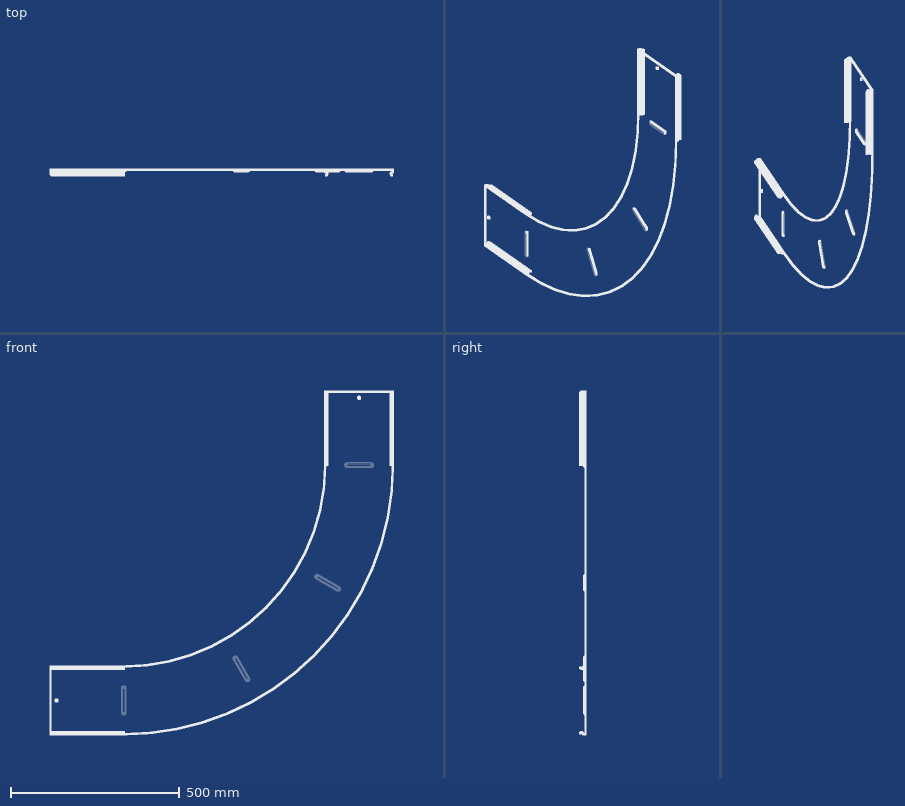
import cadquery as cq
import math

SHEET = 1.0
OUTER_RADIUS = 800.2
BAND_WIDTH = 202.0
STRAIGHT = 218.0

FLANGE_DEPTH = 17.4
FLANGE_CORNER = 5.0
FLANGE_CREASE_START = 7.0
FLANGE_CREASE_DEPTH = 11.0
FLANGE_CREASE_INSET = 7.5
FLANGE_LIP_INSET = 4.0

BEAD_COUNT = 4
BEAD_LENGTH = 86.0
BEAD_WIDTH = 14.0
BEAD_HEIGHT = 4.0

HOLE_DIAMETER = 5.0
HOLE_END_DISTANCE = 18.0

BEND_ANGLE = 90.0
INNER_RADIUS = OUTER_RADIUS - BAND_WIDTH
MIDDLE_RADIUS = OUTER_RADIUS - BAND_WIDTH / 2


def along_y(shape):
    """Turn a shape modelled on XY so that its local Z points to -Y and its local Y to +Z."""
    return shape.rotate((0, 0, 0), (1, 0, 0), 90)


def mirror_ends(shape):
    """Join a shape at the upper end of the band with its mirrored copy at the other end."""
    other_end = shape.mirror("XY").rotate((0, 0, 0), (0, 1, 0), BEND_ANGLE)
    return shape.union(other_end)


def make_band():
    """Flat quarter-turn band with a straight run at both ends."""
    diagonal = math.sqrt(0.5)
    outline = (
        cq.Workplane("XY")
        .moveTo(INNER_RADIUS, STRAIGHT)
        .lineTo(OUTER_RADIUS, STRAIGHT)
        .lineTo(OUTER_RADIUS, 0)
        .threePointArc((OUTER_RADIUS * diagonal, -OUTER_RADIUS * diagonal), (0, -OUTER_RADIUS))
        .lineTo(-STRAIGHT, -OUTER_RADIUS)
        .lineTo(-STRAIGHT, -INNER_RADIUS)
        .lineTo(0, -INNER_RADIUS)
        .threePointArc((INNER_RADIUS * diagonal, -INNER_RADIUS * diagonal), (INNER_RADIUS, 0))
        .close()
    )
    return along_y(outline.extrude(SHEET))


def make_flange(edge_x, inward):
    """Creased flange on the upper straight run; inward is the X direction to the band middle."""
    inset_and_depth = [
        (0, 0),
        (0, FLANGE_CREASE_START),
        (FLANGE_CREASE_INSET - SHEET, FLANGE_CREASE_DEPTH),
        (FLANGE_LIP_INSET - SHEET, FLANGE_DEPTH),
    ]
    outer_side = [(edge_x + inward * inset, -depth) for inset, depth in inset_and_depth]
    inner_side = [(x + inward * SHEET, y) for x, y in reversed(outer_side)]
    profile = cq.Workplane("XY").polyline(outer_side + inner_side).close()
    flange = profile.extrude(STRAIGHT)
    corner = (
        cq.Workplane("YZ")
        .moveTo(-FLANGE_DEPTH, STRAIGHT)
        .lineTo(-FLANGE_DEPTH, STRAIGHT - FLANGE_CORNER)
        .lineTo(FLANGE_CORNER - FLANGE_DEPTH, STRAIGHT)
        .close()
        .extrude(OUTER_RADIUS)
    )
    return flange.cut(corner)


def bead_half_section():
    """Half of the bead section: a hollow foot arc blending into an equal, rounded crown arc."""
    half_width = BEAD_WIDTH / 2
    radius = (half_width**2 + BEAD_HEIGHT**2) / (4 * BEAD_HEIGHT)
    return (
        cq.Workplane("XZ")
        .lineTo(half_width, 0)
        .radiusArc((half_width / 2, BEAD_HEIGHT / 2), radius)
        .radiusArc((0, BEAD_HEIGHT), -radius)
        .close()
    )


def make_bead(angle):
    """Straight bead with round ends in front of the sheet, lying radially at an angle below +X."""
    half_straight = (BEAD_LENGTH - BEAD_WIDTH) / 2
    half_ridge = (
        bead_half_section()
        .extrude(half_straight, both=True)
        .rotate((0, 0, 0), (0, 0, 1), 90)
    )
    bead = half_ridge.union(half_ridge.mirror("XZ"))
    round_end = bead_half_section().revolve(360, (0, 0, 0), (0, 1, 0))
    for side in (-1, 1):
        bead = bead.union(round_end.translate((side * half_straight, 0, 0)))
    bead = along_y(bead.translate((MIDDLE_RADIUS, 0, SHEET)))
    return bead.rotate((0, 0, 0), (0, 1, 0), angle)


def make_end_hole():
    """Cutter for the mounting hole near the upper end of the band."""
    cutter = cq.Workplane("XY").circle(HOLE_DIAMETER / 2).extrude(SHEET)
    return along_y(cutter.translate((MIDDLE_RADIUS, STRAIGHT - HOLE_END_DISTANCE, 0)))


outer_flange = make_flange(OUTER_RADIUS, -1)
inner_flange = make_flange(INNER_RADIUS, 1)

result = make_band()
result = result.union(mirror_ends(outer_flange)).union(mirror_ends(inner_flange))
for index in range(BEAD_COUNT):
    result = result.union(make_bead(index * BEND_ANGLE / (BEAD_COUNT - 1)))
result = result.cut(mirror_ends(make_end_hole()))